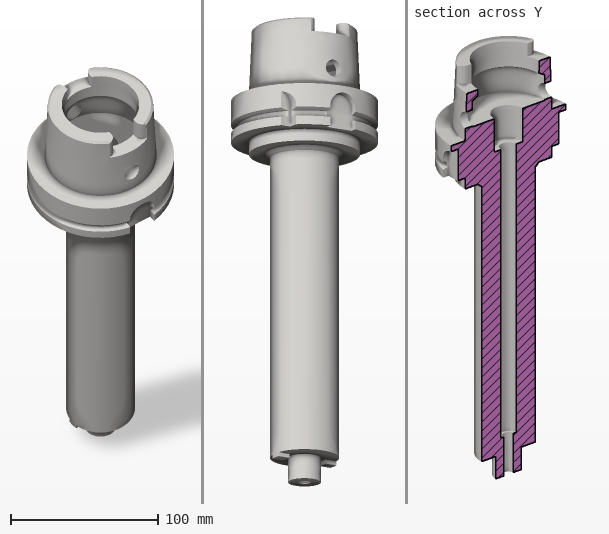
import cadquery as cq
import math


taper_height = 50.0
taper_base_radius = 38
taper_top_radius = 35.8
taper_chamfer_width = 1.5
taper_chamfer_height = 1.3

flange_diameter = 100.0
flange_radius = flange_diameter / 2
flange_height = 29.0
groove_top_depth = 16.5
groove_bottom_depth = 22.8
groove_radial_depth = 4.0
groove_top_flank_height = 1.5
groove_bottom_flank_height = 1.0

collar_radius = 37.7
collar_bottom_z = -37.0
cone_top_radius = 26.5
cone_bottom_z = -40.0
arbor_radius = 23.5
overall_height = 317
pilot_radius = 11.0
pilot_length = 17.0
pilot_bottom_z = taper_height - overall_height
arbor_bottom_z = pilot_bottom_z + pilot_length

tab_width = 8.0
tab_height = 3.0
tab_inner_y = 14.5

mouth_radius = 26.3
mouth_depth = 19.3
cavity_radius = 31.5
cavity_shoulder_angle = 30
cavity_shoulder_height = (cavity_radius - mouth_radius) * math.tan(math.radians(cavity_shoulder_angle))
cavity_depth = 41.5
seat_radius = 12.5
seat_depth = 25.5
bore_radius = 6.3
screw_hole_radius = 4.0
screw_hole_length = 30.0

notch_width = 20.0
notch_corner_radius = 5.5
notch_depth_left = 9.8
notch_depth_right = 14.5

cross_hole_radius = 6.0
cross_hole_z = 15.2

slot_width = 20.0
slot_top_z = -4.8
keyway_floor_x = 44.0
side_slot_floor_x = 31.7
side_slot_y = 41.2


def revolve_outline(points):
    """Revolve (radius, z) points around the Z axis."""
    return cq.Workplane("XZ").polyline(points).close().revolve(360, (0, 0, 0), (0, 1, 0))


def outer_body():
    groove_radius = flange_radius - groove_radial_depth
    return revolve_outline([
        (0, taper_height),
        (taper_top_radius - taper_chamfer_width, taper_height),
        (taper_top_radius, taper_height - taper_chamfer_height),
        (taper_base_radius, 0),
        (flange_radius, 0),
        (flange_radius, -groove_top_depth),
        (groove_radius, -groove_top_depth - groove_top_flank_height),
        (groove_radius, -groove_bottom_depth + groove_bottom_flank_height),
        (flange_radius, -groove_bottom_depth),
        (flange_radius, -flange_height),
        (collar_radius, -flange_height),
        (collar_radius, collar_bottom_z),
        (cone_top_radius, collar_bottom_z),
        (arbor_radius, cone_bottom_z),
        (arbor_radius, arbor_bottom_z),
        (pilot_radius, arbor_bottom_z),
        (pilot_radius, pilot_bottom_z),
        (0, pilot_bottom_z),
    ])


def cavity():
    mouth_z = taper_height - mouth_depth
    floor_z = taper_height - cavity_depth
    seat_z = floor_z - seat_depth
    screw_hole_z = pilot_bottom_z + screw_hole_length
    return revolve_outline([
        (0, taper_height),
        (mouth_radius, taper_height),
        (mouth_radius, mouth_z),
        (cavity_radius, mouth_z - cavity_shoulder_height),
        (cavity_radius, floor_z),
        (seat_radius, floor_z),
        (seat_radius, seat_z),
        (bore_radius, seat_z),
        (bore_radius, screw_hole_z),
        (screw_hole_radius, screw_hole_z),
        (screw_hole_radius, pilot_bottom_z),
        (0, pilot_bottom_z),
    ])


def drive_tabs():
    """Two tabs on the Y axis whose outer faces are flush with the arbor."""
    plane = cq.Workplane("XY").workplane(offset=arbor_bottom_z - tab_height)
    bar = plane.rect(tab_width, 2 * flange_radius).extrude(tab_height)
    gap = plane.rect(tab_width, 2 * tab_inner_y).extrude(tab_height)
    arbor_disc = plane.circle(arbor_radius).extrude(tab_height)
    return bar.cut(gap).intersect(arbor_disc)


def rim_notch(side, depth):
    """Notch on the -X or +X side of the taper rim, rounded where it meets the outer wall."""
    half = notch_width / 2
    r = notch_corner_radius
    flare_y = half + r
    flare_x = math.sqrt(taper_top_radius ** 2 - flare_y ** 2)
    bend = r * math.sqrt(0.5)
    return (
        cq.Workplane("XY").workplane(offset=taper_height - depth)
        .moveTo(0, -half)
        .lineTo(side * (flare_x - r), -half)
        .threePointArc((side * (flare_x - r + bend), -flare_y + bend), (side * flare_x, -flare_y))
        .lineTo(side * flange_radius, -flare_y)
        .lineTo(side * flange_radius, flare_y)
        .lineTo(side * flare_x, flare_y)
        .threePointArc((side * (flare_x - r + bend), flare_y - bend), (side * (flare_x - r), half))
        .lineTo(0, half)
        .close()
        .extrude(depth)
    )


def flange_slot(side, floor_x, center_y):
    """Round-topped slot cut along X from the flange edge down to a flat floor."""
    radius = slot_width / 2
    arc_z = slot_top_z - radius
    return (
        cq.Workplane("YZ").workplane(offset=side * floor_x)
        .moveTo(center_y - radius, -flange_height)
        .lineTo(center_y - radius, arc_z)
        .threePointArc((center_y, slot_top_z), (center_y + radius, arc_z))
        .lineTo(center_y + radius, -flange_height)
        .close()
        .extrude(side * flange_radius)
    )


def cross_hole():
    return (
        cq.Workplane("YZ").workplane(offset=-flange_radius)
        .center(0, cross_hole_z).circle(cross_hole_radius).extrude(2 * flange_radius)
    )


result = outer_body().union(drive_tabs()).cut(cavity()).cut(cross_hole())

for side, notch_depth in ((-1, notch_depth_left), (1, notch_depth_right)):
    result = result.cut(rim_notch(side, notch_depth))
    result = result.cut(flange_slot(side, keyway_floor_x, 0))

result = result.cut(flange_slot(-1, side_slot_floor_x, side_slot_y))